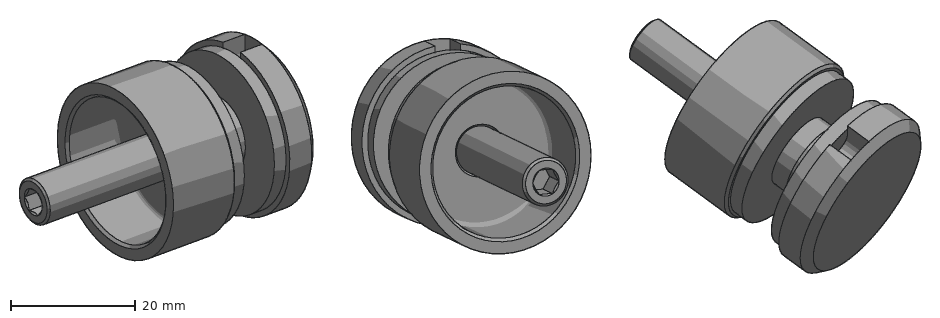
import cadquery as cq
import math


outer_diameter = 30.0
screw_diameter = 8.0
screw_projection = 16.95

gasket_diameter = 28.0
gasket_thickness = 2.4
collar_diameter = 13.0
collar_length = 3.1

cap_thickness = 6.0
cap_chamfer = 1.5
screw_depth_in_cap = 4.0
slot_width = 4.45
slot_center_height = 12.05

cup_length = 13.0
cup_back_chamfer = 0.45
cup_floor_thickness = 2.5
cavity_diameter = 25.0
cavity_fillet = 1.0
cavity_mouth_diameter = 26.0
cup_hole_mouth_diameter = 8.65

screw_chamfer_width = 0.4
screw_chamfer_length = 0.35
socket_across_flats = 4.0
socket_depth = 4.0

gasket_length = collar_length + gasket_thickness
cap_front_y = gasket_length
cap_back_y = cap_front_y + cap_thickness
cup_back_y = -gasket_length
cup_front_y = cup_back_y - cup_length
cup_floor_y = cup_back_y - cup_floor_thickness
screw_front_y = cup_front_y - screw_projection
screw_back_y = cap_front_y + screw_depth_in_cap

outer_radius = outer_diameter / 2
screw_radius = screw_diameter / 2
socket_across_corners = socket_across_flats / math.cos(math.pi / 6)


def revolve_about_y(profile):
    """Turn a closed (radius, y) profile once around the Y axis."""
    return profile.close().revolve(360, (0, 0, 0), (0, 1, 0))


def make_cap():
    chamfer_start_y = cap_back_y - cap_chamfer
    body = revolve_about_y(
        cq.Workplane("XY")
        .moveTo(0, cap_back_y)
        .lineTo(outer_radius - cap_chamfer, cap_back_y)
        .lineTo(outer_radius, chamfer_start_y)
        .lineTo(outer_radius, cap_front_y)
        .lineTo(screw_radius, cap_front_y)
        .lineTo(screw_radius, screw_back_y)
        .lineTo(0, screw_back_y)
    )
    return body.cut(make_cap_slot(chamfer_start_y))


def make_cap_slot(slot_end_y):
    """Round-bottomed rim slot, open outwards and to the gasket side."""
    slot_radius = slot_width / 2
    return (
        cq.Workplane("XZ", origin=(0, cap_front_y, 0))
        .moveTo(-slot_radius, outer_radius)
        .lineTo(-slot_radius, slot_center_height)
        .threePointArc((0, slot_center_height - slot_radius), (slot_radius, slot_center_height))
        .lineTo(slot_radius, outer_radius)
        .close()
        .extrude(cap_front_y - slot_end_y)
    )


def make_gasket(side):
    """Gasket with its collar end at Y = 0 and its flange towards side * Y."""
    gasket_radius = gasket_diameter / 2
    collar_radius = collar_diameter / 2
    return revolve_about_y(
        cq.Workplane("XY")
        .moveTo(screw_radius, 0)
        .lineTo(collar_radius, 0)
        .lineTo(collar_radius, side * collar_length)
        .lineTo(gasket_radius, side * collar_length)
        .lineTo(gasket_radius, side * gasket_length)
        .lineTo(screw_radius, side * gasket_length)
    )


def make_base_cup():
    cavity_radius = cavity_diameter / 2
    mouth_radius = cavity_mouth_diameter / 2
    mouth_chamfer = mouth_radius - cavity_radius
    hole_mouth_radius = cup_hole_mouth_diameter / 2
    hole_chamfer = hole_mouth_radius - screw_radius
    fillet_center_radius = cavity_radius - cavity_fillet
    fillet_center_y = cup_floor_y - cavity_fillet
    fillet_diagonal = cavity_fillet * math.sqrt(0.5)
    return revolve_about_y(
        cq.Workplane("XY")
        .moveTo(screw_radius, cup_back_y)
        .lineTo(outer_radius - cup_back_chamfer, cup_back_y)
        .lineTo(outer_radius, cup_back_y - cup_back_chamfer)
        .lineTo(outer_radius, cup_front_y)
        .lineTo(mouth_radius, cup_front_y)
        .lineTo(cavity_radius, cup_front_y + mouth_chamfer)
        .lineTo(cavity_radius, fillet_center_y)
        .threePointArc(
            (fillet_center_radius + fillet_diagonal, fillet_center_y + fillet_diagonal),
            (fillet_center_radius, cup_floor_y),
        )
        .lineTo(hole_mouth_radius, cup_floor_y)
        .lineTo(screw_radius, cup_floor_y + hole_chamfer)
    )


def make_set_screw():
    body = revolve_about_y(
        cq.Workplane("XY")
        .moveTo(0, screw_front_y)
        .lineTo(screw_radius - screw_chamfer_width, screw_front_y)
        .lineTo(screw_radius, screw_front_y + screw_chamfer_length)
        .lineTo(screw_radius, screw_back_y)
        .lineTo(0, screw_back_y)
    )
    return body.cut(make_hex_socket()).cut(make_socket_countersink())


def make_hex_socket():
    return (
        cq.Workplane("XZ", origin=(0, screw_front_y, 0))
        .polygon(6, socket_across_corners)
        .extrude(-socket_depth)
    )


def make_socket_countersink():
    """90 degree cone that trims the socket's corners flush with the screw face."""
    cone_radius = socket_across_corners / 2
    return revolve_about_y(
        cq.Workplane("XY")
        .moveTo(0, screw_front_y)
        .lineTo(cone_radius, screw_front_y)
        .lineTo(0, screw_front_y + cone_radius)
    )


cap = make_cap()
gaskets = [make_gasket(side) for side in (1, -1)]
base_cup = make_base_cup()
set_screw = make_set_screw()

result = cq.Compound.makeCompound(
    [cap.val(), *[gasket.val() for gasket in gaskets], base_cup.val(), set_screw.val()]
)